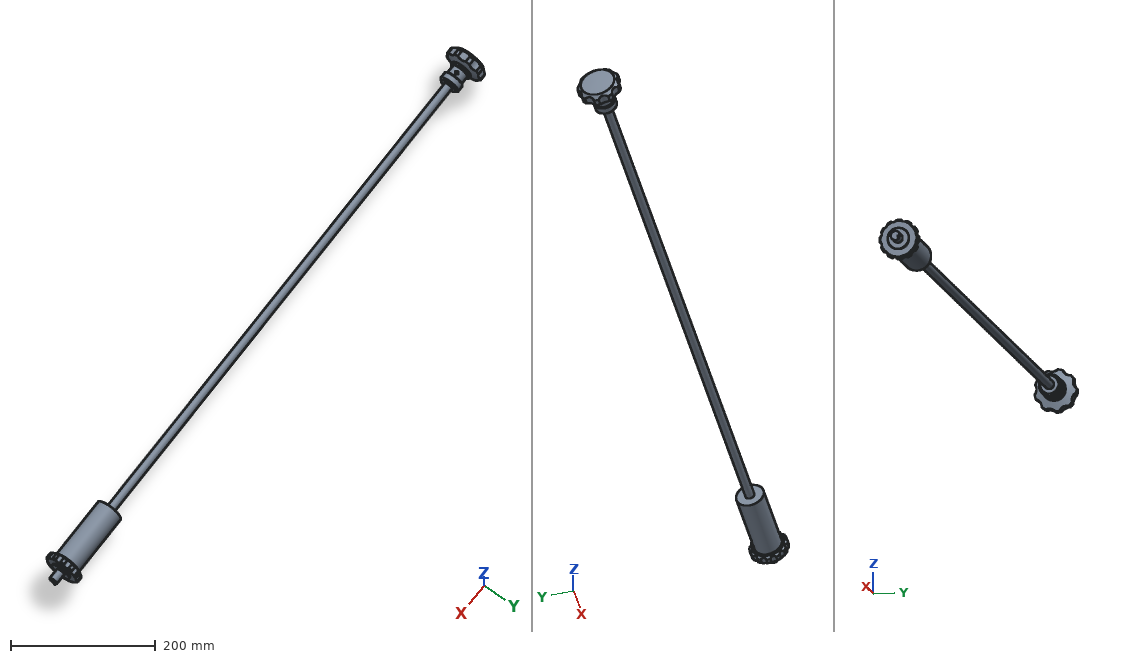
import cadquery as cq
import math

total_length = 961.67
rod_diameter = 13.0

knob_radius = 30.0
knob_lobes = 9
knob_first_lobe_angle = 196.0
knob_lobe_half_angle = 6.5
knob_scallop_depth = 3.2
knob_dome_height = 1.5
knob_face_radius = 24.0
knob_rim_start = 6.8
knob_rim_end = 16.0
knob_length = 20.3
knob_boss_diameter = 32.0

collar_start = 24.0
collar_diameter = 25.5
ring_start = 38.5
ring_end = 51.0
ring_diameter = 31.0
ring_chamfer = 2.5
set_screw_diameter = 5.0
set_screw_depth = 5.0
set_screw_position = 32.0

sleeve_start = 830.0
sleeve_diameter = 40.0

flange_start = 928.0
flange_length = 12.0
flange_end = flange_start + flange_length
flange_radius = 27.5
flange_lobes = 12
flange_first_lobe_angle = 0.0
flange_lobe_half_angle = 6.5
flange_scallop_depth = 2.5
flange_face_radius = 23.0
flange_face_bevel_length = 3.0
flange_back_chamfer = 2.0
hub_end = 942.5
hub_diameter = 30.0

pin_length = 2.5
pin_diameter = 1.6
pin_y = 4.3
pin_z = -1.3
rod_end = total_length - pin_length


def cylinder(start, end, diameter, y=0, z=0):
    """Solid cylinder along X."""
    return cq.Workplane("YZ", origin=(start, y, z)).circle(diameter / 2).extrude(end - start)


def polar(radius, angle):
    """Point in the YZ plane at an angle in degrees from +Y toward +Z."""
    return (radius * math.cos(math.radians(angle)), radius * math.sin(math.radians(angle)))


def star_prism(start, end, radius, lobes, first_angle, half_angle, scallop_depth):
    """Disc whose round lobes are separated by concave scallops."""
    pitch = 360 / lobes
    first_point = polar(radius, first_angle - half_angle)
    outline = cq.Workplane("YZ", origin=(start, 0, 0)).moveTo(*first_point)
    for index in range(lobes):
        lobe = first_angle + index * pitch
        scallop_bottom = polar(radius - scallop_depth, lobe + pitch / 2)
        outline = outline.threePointArc(polar(radius, lobe), polar(radius, lobe + half_angle))
        outline = outline.threePointArc(scallop_bottom, polar(radius, lobe + pitch - half_angle))
    return outline.close().extrude(end - start)


def knob_envelope():
    """Round body of the knob head: domed face, bevelled rim and conical back."""
    dome_radius = (knob_face_radius**2 + knob_dome_height**2) / (2 * knob_dome_height)
    middle_radius = knob_face_radius / 2
    middle_x = dome_radius - math.sqrt(dome_radius**2 - middle_radius**2)
    return (
        cq.Workplane("XY")
        .threePointArc((middle_x, middle_radius), (knob_dome_height, knob_face_radius))
        .lineTo(knob_rim_start, knob_radius)
        .lineTo(knob_rim_end, knob_radius)
        .lineTo(knob_length, knob_boss_diameter / 2)
        .lineTo(knob_length, 0)
        .close()
        .revolve(360, (0, 0, 0), (1, 0, 0))
    )


def star_knob():
    star = star_prism(
        0, knob_length, knob_radius, knob_lobes,
        knob_first_lobe_angle, knob_lobe_half_angle, knob_scallop_depth,
    )
    boss = cylinder(knob_length, collar_start, knob_boss_diameter)
    return star.intersect(knob_envelope()).union(boss)


def collar_and_ring():
    """Collar with a radial set-screw hole from +Z, then a larger stop ring."""
    collar = cylinder(collar_start, ring_start, collar_diameter)
    hole_bottom = collar_diameter / 2 - set_screw_depth
    hole = (
        cq.Workplane("XY", origin=(set_screw_position, 0, hole_bottom))
        .circle(set_screw_diameter / 2)
        .extrude(set_screw_depth)
    )
    ring = cylinder(ring_start, ring_end, ring_diameter).faces(">X").chamfer(ring_chamfer)
    return collar.cut(hole).union(ring)


def flange_envelope():
    """Round body of the flange: wide bevel toward the sleeve, small chamfer toward the hub."""
    return (
        cq.Workplane("XY", origin=(flange_start, 0, 0))
        .lineTo(0, flange_face_radius)
        .lineTo(flange_face_bevel_length, flange_radius)
        .lineTo(flange_length - flange_back_chamfer, flange_radius)
        .lineTo(flange_length, flange_radius - flange_back_chamfer)
        .lineTo(flange_length, 0)
        .close()
        .revolve(360, (0, 0, 0), (1, 0, 0))
    )


def sleeve_and_flange():
    sleeve = cylinder(sleeve_start, flange_start, sleeve_diameter)
    star = star_prism(
        flange_start, flange_end, flange_radius, flange_lobes,
        flange_first_lobe_angle, flange_lobe_half_angle, flange_scallop_depth,
    )
    hub = cylinder(flange_end, hub_end, hub_diameter)
    return sleeve.union(star.intersect(flange_envelope())).union(hub)


def rod():
    shaft = cylinder(ring_end, rod_end, rod_diameter)
    pin = cylinder(rod_end, total_length, pin_diameter, pin_y, pin_z)
    return shaft.union(pin)


result = rod().union(star_knob()).union(collar_and_ring()).union(sleeve_and_flange())